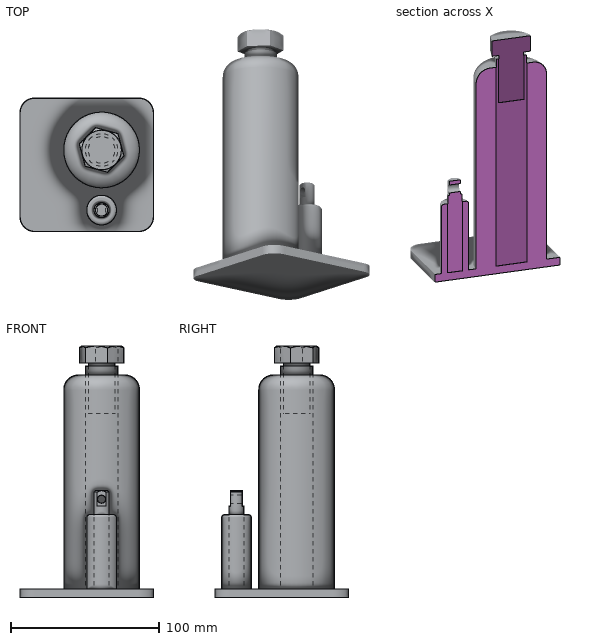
import cadquery as cq
import math

plate_side = 90.3
plate_thickness = 6.0
plate_corner_radius = 10.0

cylinder_x = 10.0
cylinder_y = 10.0
cylinder_diameter = 51.2
cylinder_top = 150.5
cylinder_shoulder_radius = 10.0

ram_diameter = 22.0
ram_top = 156.4

bolt_top = 170.0
bolt_head_height = 11.5
bolt_head_bottom = bolt_top - bolt_head_height
bolt_head_across_flats = 27.0
bolt_head_top_diameter = 26.7
bolt_head_chamfer_angle = 30.0
bolt_vertex_angle = 45.0
bolt_shank_diameter = 18.0
bolt_shank_length = 34.0

pump_x = cylinder_x
pump_y = -30.6
pump_diameter = 20.0
pump_top = 56.1
pump_edge_radius = 2.0

plunger_diameter = 10.2
plunger_top = 72.2
plunger_chamfer = 1.0
plunger_flat_thickness = 8.2
plunger_flat_height = 10.4
plunger_hole_diameter = 5.5
plunger_hole_drop = 5.8


def upright_cylinder(x, y, bottom, top, diameter):
    """Solid cylinder along Z between two heights."""
    return cq.Workplane("XY", origin=(x, y, bottom)).circle(diameter / 2).extrude(top - bottom)


def make_base():
    """Plate with the main cylinder and the pump barrel, bored for the ram and the plunger."""
    plate = (
        cq.Workplane("XY")
        .rect(plate_side, plate_side)
        .extrude(plate_thickness)
        .edges("|Z")
        .fillet(plate_corner_radius)
    )
    main_cylinder = (
        upright_cylinder(cylinder_x, cylinder_y, plate_thickness, cylinder_top, cylinder_diameter)
        .faces(">Z")
        .edges()
        .fillet(cylinder_shoulder_radius)
    )
    pump_barrel = (
        upright_cylinder(pump_x, pump_y, plate_thickness, pump_top, pump_diameter)
        .faces(">Z")
        .edges()
        .fillet(pump_edge_radius)
    )
    ram_bore = upright_cylinder(cylinder_x, cylinder_y, plate_thickness, cylinder_top, ram_diameter)
    plunger_bore = upright_cylinder(pump_x, pump_y, plate_thickness, pump_top, plunger_diameter)
    return plate.union(main_cylinder).union(pump_barrel).cut(ram_bore).cut(plunger_bore)


def make_bolt_shank():
    """Plain shank that hangs below the bolt head, most of it inside the ram."""
    return upright_cylinder(
        cylinder_x, cylinder_y, bolt_head_bottom - bolt_shank_length, bolt_head_bottom, bolt_shank_diameter
    )


def make_ram():
    """Round rod with a blind hole for the bolt shank."""
    rod = upright_cylinder(cylinder_x, cylinder_y, plate_thickness, ram_top, ram_diameter)
    return rod.cut(make_bolt_shank())


def make_bolt():
    """Hexagon-head bolt whose upper corners are turned off by a cone."""
    across_corners = bolt_head_across_flats / math.cos(math.radians(30))
    head = (
        cq.Workplane("XY")
        .polygon(6, across_corners)
        .extrude(bolt_head_height)
        .rotate((0, 0, 0), (0, 0, 1), bolt_vertex_angle)
    )
    top_radius = bolt_head_top_diameter / 2
    cone_radius = top_radius + bolt_head_height / math.tan(math.radians(bolt_head_chamfer_angle))
    chamfer_cone = (
        cq.Workplane("XZ")
        .polyline([(0, 0), (cone_radius, 0), (top_radius, bolt_head_height), (0, bolt_head_height)])
        .close()
        .revolve(360, (0, 0, 0), (0, 1, 0))
    )
    head = head.intersect(chamfer_cone).translate((cylinder_x, cylinder_y, bolt_head_bottom))
    return head.union(make_bolt_shank())


def make_plunger():
    """Round rod with two flats and a cross hole through them at its chamfered top."""
    rod = (
        upright_cylinder(pump_x, pump_y, plate_thickness, plunger_top, plunger_diameter)
        .faces(">Z")
        .chamfer(plunger_chamfer)
    )
    flat_zone = cq.Workplane("XY", origin=(pump_x, pump_y, plunger_top - plunger_flat_height))
    tongue = flat_zone.rect(plunger_diameter, plunger_flat_thickness).extrude(plunger_flat_height)
    surround = flat_zone.rect(plunger_diameter, plunger_diameter).extrude(plunger_flat_height)
    cross_hole = (
        cq.Workplane("XZ", origin=(pump_x, pump_y, plunger_top - plunger_hole_drop))
        .circle(plunger_hole_diameter / 2)
        .extrude(plunger_diameter, both=True)
    )
    return rod.cut(surround.cut(tongue)).cut(cross_hole)


base = make_base()
ram = make_ram()
bolt = make_bolt()
plunger = make_plunger()

result = cq.Compound.makeCompound([base.val(), ram.val(), bolt.val(), plunger.val()])